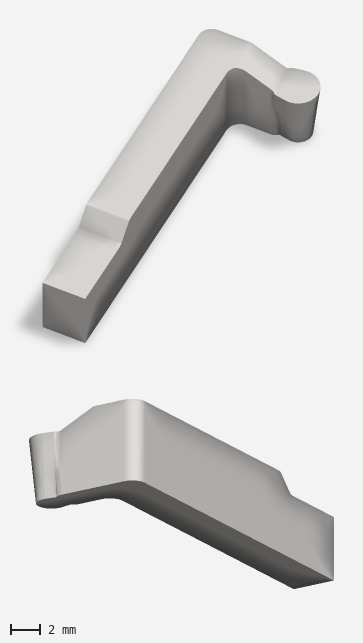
import cadquery as cq
import math

length_x = 9.0
length_y = 24.7
height = 5.79
working_height = 4.5

shank_width = 3.2
corner_radius = 1.0
neck_width = 2.2

head_radius = 1.5
head_draft = math.radians(6)
flank_angle = math.radians(10)
head_x = length_x - head_radius
head_y = length_y - head_radius
flank_start_top = 6.43
flank_start_bottom = 6.53

blend_start = 5.97
blend_radius = 0.5
blend_bend_x = 6.2
flush_height = 1.9
flush_blend_start = 6.17
flush_bend_x = 6.22
flush_bend_drop = 0.004
head_root_x = 5.5
neck_overlap = 0.1
head_blank_height = 5.0

ramp_start_x = 3.44
ramp_angle = math.radians(25)
ramp_fillet = 1.0

step_start_y = 5.31
step_bottom_fillet = 0.5
step_top_fillet = 0.3

neck_half = neck_width / 2
step_rise = height - working_height


def make_body():
    neck_bottom = head_y - neck_half
    neck_top = head_y + neck_half
    neck_end = head_root_x + neck_overlap
    plan = [
        (0, 0),
        (shank_width, 0),
        (shank_width, neck_bottom),
        (neck_end, neck_bottom),
        (neck_end, neck_top),
        (0, neck_top),
    ]
    body = cq.Workplane("XY").polyline(plan).close().extrude(height)
    inner_corner = cq.selectors.NearestToPointSelector((shank_width, neck_bottom, height / 2))
    outer_corner = cq.selectors.NearestToPointSelector((0, neck_top, height / 2))
    body = body.edges(inner_corner).fillet(corner_radius)
    return body.edges(outer_corner).fillet(corner_radius)


def radius_at(z):
    """Radius of the round nose at height z."""
    return head_radius - (working_height - z) * math.tan(head_draft)


def flank_tangent_at(z):
    """Point, with y measured from the neck centre line, where the flank meets the round nose."""
    radius = radius_at(z)
    return head_x - radius * math.sin(flank_angle), radius * math.cos(flank_angle)


def flank_start_at(z):
    """Point, with y measured from the neck centre line, where the blend meets the flank."""
    x = flank_start_bottom + (flank_start_top - flank_start_bottom) * z / working_height
    tangent_x, tangent_y = flank_tangent_at(z)
    return x, tangent_y - (tangent_x - x) * math.tan(flank_angle)


def mirrored(point):
    return point[0], -point[1]


def outline_at(z):
    return cq.Workplane("XY", origin=(0, head_y, z))


def loft(*sections):
    return cq.Workplane(cq.Solid.makeLoft(list(sections), True))


def head_section(z):
    """Round nose with two straight flanks, closed across the flank starts."""
    flank = flank_start_at(z)
    tangent = flank_tangent_at(z)
    section = outline_at(z).moveTo(*mirrored(flank)).lineTo(*mirrored(tangent))
    section = section.threePointArc((head_x + radius_at(z), 0), tangent)
    return section.lineTo(*flank).close().val()


def blend_section(z, start_x, bend=None):
    """Outline from the neck to the flank starts.

    Each side is an arc tangent to the neck, ending at the bend and followed by a straight
    line to the flank start. Without a bend the arc itself ends at the flank start.
    """
    flank = flank_start_at(z)
    arc_end = bend or flank
    run = arc_end[0] - start_x
    rise = arc_end[1] - neck_half
    half_sweep = math.atan2(rise, run)
    arc_radius = run / math.sin(2 * half_sweep)
    arc_mid = (
        start_x + arc_radius * math.sin(half_sweep),
        neck_half + arc_radius * (1 - math.cos(half_sweep)),
    )

    section = outline_at(z).moveTo(head_root_x, -neck_half).lineTo(start_x, -neck_half)
    section = section.threePointArc(mirrored(arc_mid), mirrored(arc_end))
    if bend:
        section = section.lineTo(*mirrored(flank))
    section = section.lineTo(*flank)
    if bend:
        section = section.lineTo(*bend)
    section = section.threePointArc(arc_mid, (start_x, neck_half))
    return section.lineTo(head_root_x, neck_half).close().val()


def make_head():
    """Drafted head with its blend: widening towards the head above, narrowing below."""
    top_rise = blend_radius - math.sqrt(blend_radius**2 - (blend_bend_x - blend_start) ** 2)
    top_bend = (blend_bend_x, neck_half + top_rise)
    flush_bend = (flush_bend_x, neck_half - flush_bend_drop)
    head = loft(head_section(0), head_section(head_blank_height))
    upper_blend = loft(
        blend_section(flush_height, flush_blend_start, flush_bend),
        blend_section(head_blank_height, blend_start, top_bend),
    )
    lower_blend = loft(
        blend_section(0, blend_start),
        blend_section(flush_height, flush_blend_start),
    )
    return head.union(upper_blend).union(lower_blend)


def ramp_cutter():
    """Everything above the ramp and the head top."""
    ramp_end_x = ramp_start_x + step_rise / math.tan(ramp_angle)
    beyond = length_x + head_radius
    profile = [
        (ramp_start_x, height),
        (ramp_end_x, working_height),
        (beyond, working_height),
        (beyond, height),
    ]
    cutter = cq.Workplane("XZ").polyline(profile).close().extrude(-(length_y + head_radius))
    ramp_foot = cq.selectors.NearestToPointSelector((ramp_end_x, length_y / 2, working_height))
    return cutter.edges(ramp_foot).fillet(ramp_fillet)


def cut_step(body):
    """Lower the shank end, with a rounded 45 degree slope."""
    step_end_y = step_start_y + step_rise
    profile = [(0, working_height), (step_start_y, working_height), (step_end_y, height), (0, height)]
    cutter = cq.Workplane("YZ").polyline(profile).close().extrude(shank_width)
    body = body.cut(cutter)
    foot = cq.selectors.NearestToPointSelector((shank_width / 2, step_start_y, working_height))
    crest = cq.selectors.NearestToPointSelector((shank_width / 2, step_end_y, height))
    return body.edges(foot).fillet(step_bottom_fillet).edges(crest).fillet(step_top_fillet)


result = cut_step(make_body()).union(make_head()).cut(ramp_cutter())